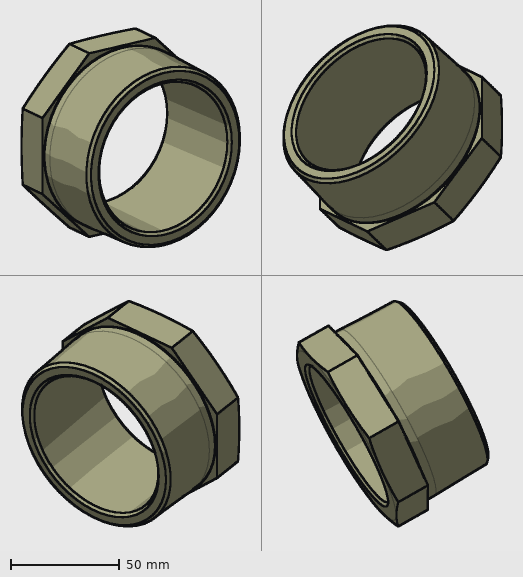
import cadquery as cq
import math

across_flats = 90.0
total_length = 51.5
head_length = 17.0
relief_width = 0.4
relief_diameter = 88.2
collar_length = 4.4
thread_diameter = 88.46
thread_taper = 1 / 16
end_chamfer = 1.55
bore_diameter = 72.23
bore_mouth_diameter = 75.2
head_face_diameter = 89.7
head_chamfer_angle = 15.0
octagon_sides = 8
envelope_margin = 1.0

across_corners = across_flats / math.cos(math.pi / octagon_sides)
collar_start = head_length + relief_width
taper_start = collar_start + collar_length
taper_end = total_length - end_chamfer
thread_radius = thread_diameter / 2
thread_end_radius = thread_radius - thread_taper / 2 * (taper_end - taper_start)
bore_chamfer = (bore_mouth_diameter - bore_diameter) / 2


def revolve_about_x(points):
    """Revolve a closed (axial, radial) outline about the X axis."""
    return cq.Workplane("XY").polyline(points).close().revolve(360, (0, 0, 0), (1, 0, 0))


def octagon_head():
    """Octagonal head with its corners turned down by a shallow cone at the open face."""
    prism = (
        cq.Workplane("YZ")
        .transformed(rotate=(0, 0, 180 / octagon_sides))
        .polygon(octagon_sides, across_corners)
        .extrude(head_length)
    )
    face_radius = head_face_diameter / 2
    outer_radius = across_corners / 2 + envelope_margin
    cone_depth = (outer_radius - face_radius) * math.tan(math.radians(head_chamfer_angle))
    envelope = revolve_about_x([
        (0, 0),
        (0, face_radius),
        (cone_depth, outer_radius),
        (head_length, outer_radius),
        (head_length, 0),
    ])
    return prism.intersect(envelope)


def threaded_end():
    """Shallow relief behind the head, plain collar, tapered thread body and chamfered tip."""
    return revolve_about_x([
        (head_length, 0),
        (head_length, relief_diameter / 2),
        (collar_start, relief_diameter / 2),
        (collar_start, thread_radius),
        (taper_start, thread_radius),
        (taper_end, thread_end_radius),
        (total_length, thread_end_radius - end_chamfer),
        (total_length, 0),
    ])


def bore():
    """Through bore with a 45 degree chamfer at each mouth."""
    return revolve_about_x([
        (0, 0),
        (0, bore_mouth_diameter / 2),
        (bore_chamfer, bore_diameter / 2),
        (total_length - bore_chamfer, bore_diameter / 2),
        (total_length, bore_mouth_diameter / 2),
        (total_length, 0),
    ])


result = octagon_head().union(threaded_end()).cut(bore())